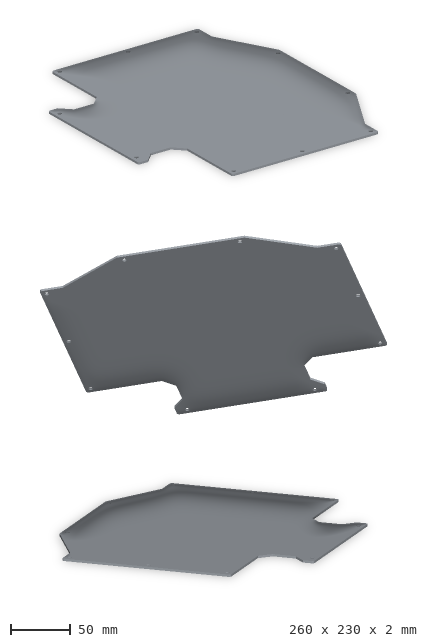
import cadquery as cq

width = 260.0
length = 230.0
thickness = 2.0

half_width = width / 2
top_half_width = 55.0
shoulder_half_width = 110.0
taper_height = 30.0
shoulder_y = length - taper_height
body_bottom_y = 50.0
tail_half_width = 65.0
bevel = 10.0
waist_half_width = tail_half_width - bevel
flare_y = 10.0
corner_radius = 2.0

hole_diameter = 4.0
edge_inset = 5.0
top_hole_x = 50.0
side_hole_x = half_width - edge_inset
side_hole_low_y = body_bottom_y + edge_inset
side_hole_high_y = shoulder_y - edge_inset
side_hole_middle_y = (side_hole_low_y + side_hole_high_y) / 2


def make_plate():
    """Flat plate with a tapered top, a waisted tail and rounded outer corners."""
    right_side = [
        (tail_half_width, 0),
        (tail_half_width, flare_y),
        (waist_half_width, flare_y + bevel),
        (waist_half_width, body_bottom_y - bevel),
        (tail_half_width, body_bottom_y),
        (half_width, body_bottom_y),
        (half_width, shoulder_y),
        (shoulder_half_width, shoulder_y),
        (top_half_width, length),
    ]
    left_side = [(-x, y) for x, y in reversed(right_side)]
    plate = cq.Workplane("XY").polyline(right_side + left_side).close().extrude(thickness)
    outer_corners = plate.edges("|Z").edges("<Y or >X or <X")
    return outer_corners.fillet(corner_radius)


def drill_holes(plate):
    """Mirrored pairs of through holes near the edges."""
    right_holes = [
        (waist_half_width, edge_inset),
        (side_hole_x, side_hole_low_y),
        (side_hole_x, side_hole_middle_y),
        (side_hole_x, side_hole_high_y),
        (top_hole_x, length - edge_inset),
    ]
    left_holes = [(-x, y) for x, y in right_holes]
    drills = (
        cq.Workplane("XY")
        .pushPoints(right_holes + left_holes)
        .circle(hole_diameter / 2)
        .extrude(thickness)
    )
    return plate.cut(drills)


result = drill_holes(make_plate())